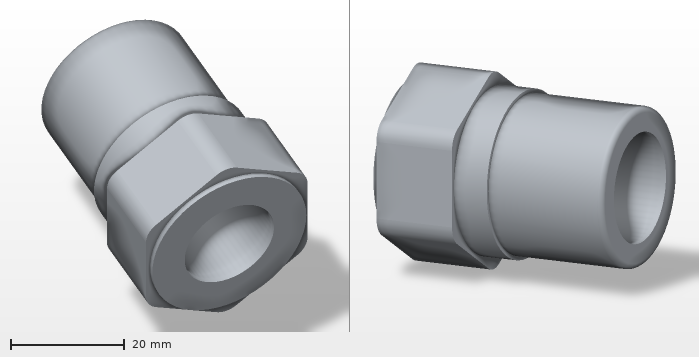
import cadquery as cq
import math

spigot_end = 22.5
hex_start = 29.0
hex_end = 44.0
total_length = 45.0

spigot_diameter = 29.0
spigot_edge_radius = 1.0
collar_diameter = 30.5
hex_sides = 6
hex_across_flats = 32.0
hex_corner_radius = 4.0

socket_diameter = 20.0
socket_depth = spigot_end
bore_diameter = 17.7


def cylinder(start, end, diameter):
    """Cylinder on the X axis between two axial stations."""
    return cq.Workplane("YZ", origin=(start, 0, 0)).circle(diameter / 2).extrude(end - start)


def hexagon():
    """Wrench hexagon with rounded corners, two flats facing +Y and -Y."""
    across_corners = hex_across_flats / math.cos(math.pi / hex_sides)
    return (
        cq.Workplane("YZ", origin=(hex_start, 0, 0))
        .transformed(rotate=(0, 0, 90))
        .polygon(hex_sides, across_corners)
        .extrude(hex_end - hex_start)
        .edges("|X")
        .fillet(hex_corner_radius)
    )


def spigot():
    """Plain tube end with a rounded outer rim."""
    return cylinder(0, spigot_end, spigot_diameter).edges("<X").fillet(spigot_edge_radius)


body = spigot().union(cylinder(spigot_end, total_length, collar_diameter)).union(hexagon())
socket = cylinder(0, socket_depth, socket_diameter)
through_bore = cylinder(0, total_length, bore_diameter)

result = body.cut(socket).cut(through_bore)